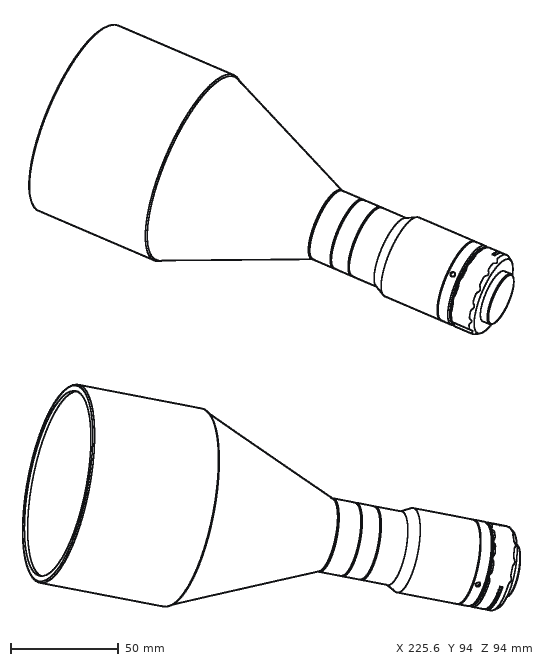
import cadquery as cq
import math

total_length = 225.6

hood_diameter = 94.0
hood_end = 63.0
hood_chamfer = 0.7
recess_diameter = 87.8
recess_depth = 1.5

glass_edge_thickness = 4.5
glass_bulge = 0.7

cone_end = 132.7
neck_diameter = 35.0
neck_end = 167.6
neck_seams = [133.1, 144.6, 154.0]
neck_seam_depth = 0.34

barrel_diameter = 40.2
barrel_start = 172.8
barrel_end = 208.3
barrel_seam = 202.8
barrel_seam_depth = 0.2

ring_start = 210.3
ring_end = 221.5
ring_gap_depth = 0.7
ring_rear_chamfer_length = 2.0
ring_rear_chamfer_depth = 1.4

mount_diameter = 25.5
mount_chamfer = 0.5

flute_count = 7
flute_pitch_angle = 25.0
flute_center_angle = 60.0
flute_scoop_radius = 3.0
flute_edge_radius = 3.0
flute_depth = 0.7

slot_center = 216.5
slot_width = 1.4
slot_depth = 1.1
slot_arc_angle = 186.0

screw_count = 3
screw_first_angle = 30.0
screw_station = 205.3
screw_diameter = 2.3
screw_depth = 1.1

hood_radius = hood_diameter / 2
recess_radius = recess_diameter / 2
neck_radius = neck_diameter / 2
barrel_radius = barrel_diameter / 2
mount_radius = mount_diameter / 2
pocket_floor = recess_depth + glass_edge_thickness
plain_arc_center = flute_center_angle + 180
clearance = 2.3


def revolve_about_x(profile):
    """Close a profile drawn in X (station) and Y (radius) and spin it about the X axis."""
    return profile.close().revolve(360, (0, 0, 0), (1, 0, 0))


def turn_about_x(shape, angle):
    return shape.rotate((0, 0, 0), (1, 0, 0), angle)


def v_groove(station, surface_radius, depth):
    """Ring-shaped cutter for a 90 degree V groove in a cylinder."""
    outer_radius = surface_radius + clearance
    half_width = depth + clearance
    profile = (
        cq.Workplane("XY")
        .moveTo(station, surface_radius - depth)
        .lineTo(station + half_width, outer_radius)
        .lineTo(station - half_width, outer_radius)
    )
    return revolve_about_x(profile)


def turned_body():
    """Outer shape of the housing, with the stepped pocket that takes the glass."""
    gap_floor_radius = barrel_radius - ring_gap_depth
    ring_rear_radius = barrel_radius - ring_rear_chamfer_depth
    profile = (
        cq.Workplane("XY")
        .moveTo(pocket_floor, 0)
        .lineTo(pocket_floor, recess_radius)
        .lineTo(0, recess_radius)
        .lineTo(0, hood_radius - hood_chamfer)
        .lineTo(hood_chamfer, hood_radius)
        .lineTo(hood_end - hood_chamfer, hood_radius)
        .lineTo(hood_end, hood_radius - hood_chamfer)
        .lineTo(cone_end, neck_radius)
        .lineTo(neck_end, neck_radius)
        .lineTo(barrel_start, barrel_radius)
        .lineTo(barrel_end, barrel_radius)
        .lineTo(barrel_end + ring_gap_depth, gap_floor_radius)
        .lineTo(ring_start - ring_gap_depth, gap_floor_radius)
        .lineTo(ring_start, barrel_radius)
        .lineTo(ring_end - ring_rear_chamfer_length, barrel_radius)
        .lineTo(ring_end, ring_rear_radius)
        .lineTo(ring_end, mount_radius)
        .lineTo(total_length - mount_chamfer, mount_radius)
        .lineTo(total_length, mount_radius - mount_chamfer)
        .lineTo(total_length, 0)
    )
    return revolve_about_x(profile)


def ring_flute(angle):
    """Flute cutter along the ring: a round scoop whose mouth is blended into the ring by rounded edges."""
    scoop_height = barrel_radius - flute_depth + flute_scoop_radius
    edge_distance = barrel_radius - flute_edge_radius
    blend_distance = flute_scoop_radius + flute_edge_radius
    cosine = (scoop_height**2 + edge_distance**2 - blend_distance**2) / (2 * scoop_height * edge_distance)
    edge_angle = math.acos(cosine)
    edge_y = edge_distance * math.sin(edge_angle)
    edge_z = edge_distance * math.cos(edge_angle)
    scoop_share = flute_scoop_radius / blend_distance
    blend_y = edge_y * scoop_share
    blend_z = scoop_height + (edge_z - scoop_height) * scoop_share
    mouth_y = barrel_radius * math.sin(edge_angle)
    mouth_z = barrel_radius * math.cos(edge_angle)
    top_z = barrel_radius + clearance
    start = ring_start - ring_gap_depth
    flute = (
        cq.Workplane("YZ", origin=(start, 0, 0))
        .moveTo(-mouth_y, mouth_z)
        .radiusArc((-blend_y, blend_z), flute_edge_radius)
        .threePointArc((0, barrel_radius - flute_depth), (blend_y, blend_z))
        .radiusArc((mouth_y, mouth_z), flute_edge_radius)
        .lineTo(mouth_y, top_z)
        .lineTo(-mouth_y, top_z)
        .close()
        .extrude(ring_end - start)
    )
    return turn_about_x(flute, angle)


def ring_slot():
    """Part-circle slot cutter, centred on the plain side of the ring."""
    slot = (
        cq.Workplane("XY")
        .moveTo(slot_center - slot_width / 2, barrel_radius - slot_depth)
        .lineTo(slot_center + slot_width / 2, barrel_radius - slot_depth)
        .lineTo(slot_center + slot_width / 2, barrel_radius + clearance)
        .lineTo(slot_center - slot_width / 2, barrel_radius + clearance)
        .close()
        .revolve(slot_arc_angle, (0, 0, 0), (1, 0, 0))
    )
    start_angle = plain_arc_center - slot_arc_angle / 2
    return turn_about_x(slot, start_angle + 90)


def screw_hole(angle):
    hole = (
        cq.Workplane("XY", origin=(screw_station, 0, barrel_radius - screw_depth))
        .circle(screw_diameter / 2)
        .extrude(screw_depth + clearance)
    )
    return turn_about_x(hole, angle)


def make_housing():
    housing = turned_body()
    for station in neck_seams:
        housing = housing.cut(v_groove(station, neck_radius, neck_seam_depth))
    housing = housing.cut(v_groove(barrel_seam, barrel_radius, barrel_seam_depth))
    for index in range(flute_count):
        offset = index - (flute_count - 1) / 2
        housing = housing.cut(ring_flute(flute_center_angle + offset * flute_pitch_angle))
    housing = housing.cut(ring_slot())
    for index in range(screw_count):
        housing = housing.cut(screw_hole(screw_first_angle + index * 360 / screw_count))
    return housing


def make_front_glass():
    """Plano-convex disc filling the back of the front recess."""
    sphere_radius = (recess_radius**2 + glass_bulge**2) / (2 * glass_bulge)
    front = recess_depth - glass_bulge
    mid_radius = recess_radius / 2
    mid_station = front + sphere_radius - math.sqrt(sphere_radius**2 - mid_radius**2)
    profile = (
        cq.Workplane("XY")
        .moveTo(front, 0)
        .threePointArc((mid_station, mid_radius), (recess_depth, recess_radius))
        .lineTo(pocket_floor, recess_radius)
        .lineTo(pocket_floor, 0)
    )
    return revolve_about_x(profile)


housing = make_housing()
front_glass = make_front_glass()
result = cq.Compound.makeCompound([housing.val(), front_glass.val()])